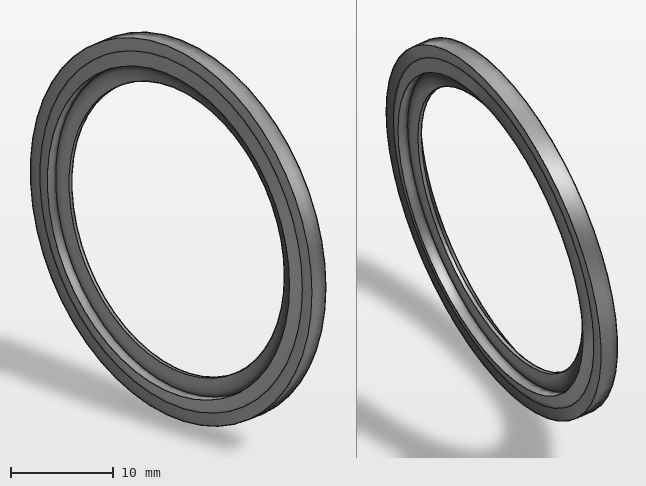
import cadquery as cq

outer_radius = 19.75
ring_inner_radius = 18.4
lip_crest_radius = 17.0
bore_radius = 15.1

ring_thickness = 1.9
lip_thickness = 2.6
membrane_thickness = 0.4


def revolve_about_y(profile):
    """Revolve a profile drawn as (radius, Y) a full turn about the Y axis."""
    return profile.revolve(360, (0, 0, 0), (0, 1, 0))


def make_outer_ring():
    """Flat rigid ring of rectangular section."""
    half_ring = ring_thickness / 2
    profile = (
        cq.Workplane("XY")
        .moveTo(ring_inner_radius, -half_ring)
        .lineTo(outer_radius, -half_ring)
        .lineTo(outer_radius, half_ring)
        .lineTo(ring_inner_radius, half_ring)
        .close()
    )
    return revolve_about_y(profile)


def make_seal():
    """Seal with a conical lip on each face and a thin membrane inside."""
    half_ring = ring_thickness / 2
    half_lip = lip_thickness / 2
    half_membrane = membrane_thickness / 2
    profile = (
        cq.Workplane("XY")
        .moveTo(bore_radius, -half_membrane)
        .lineTo(lip_crest_radius, -half_membrane)
        .lineTo(lip_crest_radius, -half_lip)
        .lineTo(ring_inner_radius, -half_ring)
        .lineTo(ring_inner_radius, half_ring)
        .lineTo(lip_crest_radius, half_lip)
        .lineTo(lip_crest_radius, half_membrane)
        .lineTo(bore_radius, half_membrane)
        .close()
    )
    return revolve_about_y(profile)


outer_ring = make_outer_ring()
seal = make_seal()

result = cq.Compound.makeCompound([outer_ring.val(), seal.val()])